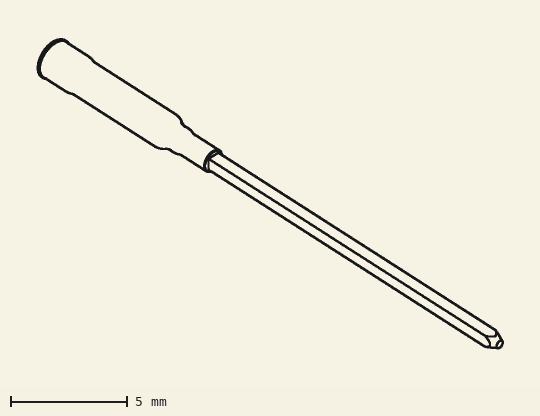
import cadquery as cq

OVERALL_LENGTH = 27.51
FLANGE_THICKNESS = 0.1
HEAD_TAPER_START = 1.52
HEAD_TAPER_END = 1.84
BODY_TAPER_START = 7.05
BODY_TAPER_END = 7.48
COLLAR_TAPER_START = 8.0
COLLAR_TAPER_END = 8.175
SLEEVE_END = 9.87

FLANGE_DIAMETER = 1.87
HEAD_DIAMETER = 1.8
BODY_DIAMETER = 1.65
COLLAR_DIAMETER = 1.21
SLEEVE_DIAMETER = 1.06
SLEEVE_CHAMFER = 0.03

TAPER_BLENDS = (
    (HEAD_TAPER_START, 0.7),
    (HEAD_TAPER_END, 0.4),
    (BODY_TAPER_START, 0.56),
    (BODY_TAPER_END, 0.36),
    (COLLAR_TAPER_START, 0.47),
    (COLLAR_TAPER_END, 0.35),
)

PIN_WIDTH = 0.6
PIN_DIAGONAL = PIN_WIDTH * 2 ** 0.5
TIP_LENGTH = 0.58
TIP_END_DIAMETER = 0.37

SELECTION_MARGIN = 0.01


def revolved(outline):
    """Solid of revolution about X from (station, diameter) pairs."""
    half = [(x, diameter / 2) for x, diameter in outline]
    first_x = half[0][0]
    last_x = half[-1][0]
    points = [(first_x, 0), *half, (last_x, 0)]
    return cq.Workplane("XY").polyline(points).close().revolve(360, (0, 0, 0), (1, 0, 0))


def circle_at(station):
    """Selector for the circular edge lying in the plane X = station."""
    low_corner = (station - SELECTION_MARGIN, -FLANGE_DIAMETER, -FLANGE_DIAMETER)
    high_corner = (station + SELECTION_MARGIN, FLANGE_DIAMETER, FLANGE_DIAMETER)
    return cq.selectors.BoxSelector(low_corner, high_corner, boundingbox=True)


def make_shank():
    """Flanged head, body, collar and sleeve, joined by smoothly blended tapers."""
    shank = revolved([
        (0, FLANGE_DIAMETER),
        (FLANGE_THICKNESS, FLANGE_DIAMETER),
        (FLANGE_THICKNESS, HEAD_DIAMETER),
        (HEAD_TAPER_START, HEAD_DIAMETER),
        (HEAD_TAPER_END, BODY_DIAMETER),
        (BODY_TAPER_START, BODY_DIAMETER),
        (BODY_TAPER_END, COLLAR_DIAMETER),
        (COLLAR_TAPER_START, COLLAR_DIAMETER),
        (COLLAR_TAPER_END, SLEEVE_DIAMETER),
        (SLEEVE_END - SLEEVE_CHAMFER, SLEEVE_DIAMETER),
        (SLEEVE_END, SLEEVE_DIAMETER - 2 * SLEEVE_CHAMFER),
    ])
    for station, radius in TAPER_BLENDS:
        shank = shank.edges(circle_at(station)).fillet(radius)
    return shank


def make_pin():
    """Square bar trimmed by a cone at its free end."""
    bar = cq.Workplane("YZ").rect(PIN_WIDTH, PIN_WIDTH).extrude(OVERALL_LENGTH)
    tip_start = OVERALL_LENGTH - TIP_LENGTH
    envelope_diameter = 2 * PIN_DIAGONAL
    envelope = revolved([
        (0, envelope_diameter),
        (SLEEVE_END, envelope_diameter),
        (tip_start, PIN_DIAGONAL),
        (OVERALL_LENGTH, TIP_END_DIAMETER),
    ])
    return bar.intersect(envelope)


result = make_shank().union(make_pin())